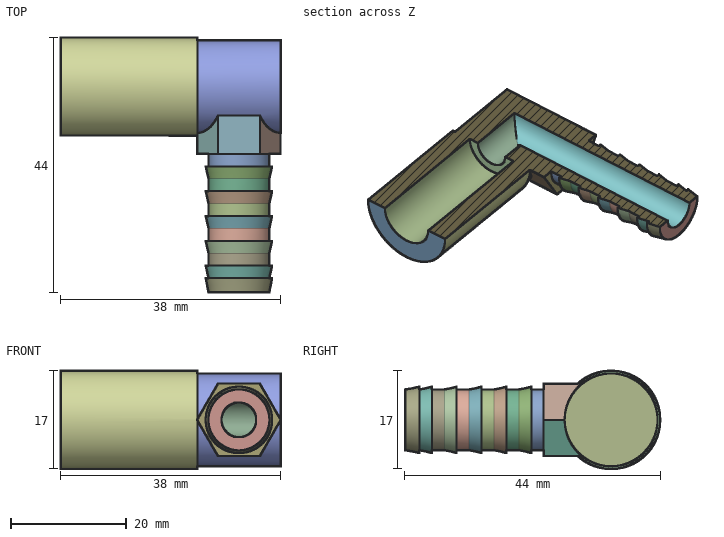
import cadquery as cq
import math

overall_length = 38.0
overall_width = 44.0
socket_diameter = 17.0
neck_diameter = 16.0

hex_across_flats = 12.5
hex_across_corners = hex_across_flats / math.cos(math.pi / 6)
hex_end = 11.6

socket_length = 23.6
tail_axis_x = 30.75

tail_end = overall_width - socket_diameter / 2
tail_diameter = 10.5
barb_diameter = 11.5
tip_barb_length = 2.45
spaced_barb_count = 5
barb_length = (tail_end - hex_end - tip_barb_length) / (2 * spaced_barb_count)

bore_diameter = 6.0
socket_bore_diameter = 9.5


def rod_along_x(diameter, start, end):
    """Solid cylinder on the socket axis between two X positions."""
    return cq.Workplane("YZ").workplane(offset=start).circle(diameter / 2).extrude(end - start)


def tail_plane(distance):
    """Plane across the tail axis, facing -Y, at a distance from the socket axis."""
    return cq.Workplane("XZ", origin=(tail_axis_x, -distance, 0))


def rod_along_tail(diameter, start, end):
    """Solid cylinder on the tail axis between two distances from the socket axis."""
    return tail_plane(start).circle(diameter / 2).extrude(end - start)


def make_body():
    """Socket and its slightly slimmer neck."""
    socket = rod_along_x(socket_diameter, 0, socket_length)
    neck = rod_along_x(neck_diameter, socket_length, overall_length)
    return socket.union(neck)


def make_collar():
    """Hexagonal block from the socket axis to the root of the tail."""
    return tail_plane(0).polygon(6, hex_across_corners).extrude(hex_end)


def make_tail():
    """Tube with evenly spaced barbs and a longer barb at the tip, revolved as one profile.

    Each barb has a sharp shoulder facing the collar and narrows to the tube towards the tip.
    The tube starts inside the collar, on the socket axis.
    """
    tail_radius = tail_diameter / 2
    barb_radius = barb_diameter / 2
    profile = cq.Workplane("XY", origin=(tail_axis_x, 0, 0)).lineTo(tail_radius, 0)
    for index in range(spaced_barb_count):
        shoulder = hex_end + (2 * index + 1) * barb_length
        profile = profile.lineTo(tail_radius, -shoulder)
        profile = profile.lineTo(barb_radius, -shoulder)
        profile = profile.lineTo(tail_radius, -(shoulder + barb_length))
    profile = profile.lineTo(barb_radius, -(tail_end - tip_barb_length))
    profile = profile.lineTo(tail_radius, -tail_end).lineTo(0, -tail_end).close()
    return profile.revolve(360, (0, 0, 0), (0, 1, 0))


def make_bore():
    """Wide socket bore leading into a mitred elbow that leaves through the tail."""
    bore_radius = bore_diameter / 2
    socket_bore = rod_along_x(socket_bore_diameter, 0, socket_length)
    inlet = rod_along_x(bore_diameter, 0, tail_axis_x)
    outlet = rod_along_tail(bore_diameter, 0, tail_end)
    inlet_extended = rod_along_x(bore_diameter, 0, tail_axis_x + bore_radius)
    outlet_extended = rod_along_tail(bore_diameter, -bore_radius, tail_end)
    corner = inlet_extended.intersect(outlet_extended)
    return socket_bore.union(inlet).union(outlet).union(corner)


result = make_body().union(make_collar()).union(make_tail()).cut(make_bore())